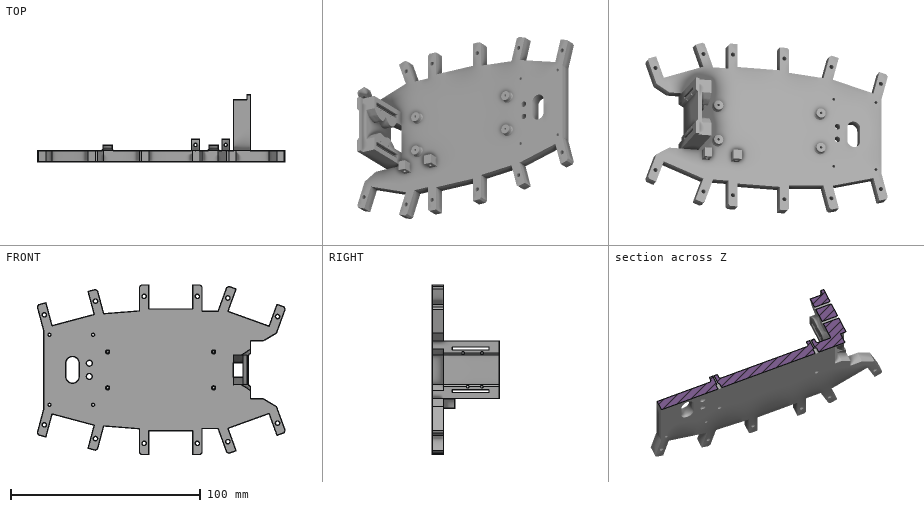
import cadquery as cq
import math


plate_thickness = 6.0
end_x = 0.2
end_half_width = 20.4
mid_half_width = 32.2
notch_floor_x = 109.55
notch_half_width = 15.25
plate_half_outline = [
    (end_x, end_half_width),
    (4.4, 23.3),
    (26.9, 29.3),
    (31.9, 29.7),
    (50.8, 31.2),
    (55.8, mid_half_width),
    (78.9, mid_half_width),
    (83.9, 31.0),
    (92.4, 31.0),
    (97.7, 30.9),
    (119.3, 23.1),
    (123.2, 19.4),
    (116.2, notch_half_width),
    (notch_floor_x, notch_half_width),
]

arm_width = 5.0
arm_length = 14.4
arm_chamfer = 1.0
arm_hole_diameter = 2.2
arm_hole_setback = 6.0
overall_width = 89.67
arm_tip_z = overall_width / 2
arms = [
    (-1.03, 34.85, 15.0, -1),
    (26.0, 42.1, 15.0, 1),
    (53.3, arm_tip_z, 0.0, -1),
    (81.4, arm_tip_z, 0.0, 1),
    (99.55, 43.6, -20.0, -1),
    (125.8, 33.8, -20.0, 1),
]

corner_hole_diameter = 1.5
corner_hole_xs = (3.25, 26.3)
corner_hole_z = 18.5
cable_hole_diameter = 3.0
cable_hole_x = 24.3
cable_hole_z = 3.5
slot_x = 15.4
slot_length = 14.0
slot_width = 7.0

standoff_xs = (34.0, 90.0)
standoff_z = 9.5
standoff_diameter = 5.0
standoff_height = 2.9
standoff_foot_height = 0.75
standoff_foot_growth = 0.5
standoff_bore = 1.3
standoff_entry_diameter = 2.2
standoff_entry_depth = plate_thickness / 2

lug_height = 6.0
lug_hole_diameter = 1.6
lug_z_min = -20.3
lug_z_max = -15.4
lug_spans = [(78.2, 82.6), (94.4, 98.4)]

block_x_min = 100.4
block_x_max = notch_floor_x
block_y_max = 35.51
lip_x_min = 107.5
lip_height = 2.6
lip_y_min = block_y_max - lip_height

channel_floor_x = 105.45
channel_half_width = 7.75
wave_crest_z = 3.8
ramp_end_x = 107.6
ramp_height = 2.0
flare_start_x = 104.5
flare_half_width = 10.95

groove_depth = 1.15

block_slot_y = (9.9, 30.8)
block_slot_z = (10.1, 12.45)
block_slot_step_depth = 2.0
block_slot_end_inset = 0.8
block_slot_side_inset = 0.5
pin_hole_diameter = 1.3
pin_hole_z = 8.9
pin_hole_y_outer = 26.3
pin_hole_y_upper = 16.4
pin_hole_y_lower = 18.8


def box_between(x_range, y_range, z_range):
    """Box spanning the given (min, max) ranges."""
    ranges = (x_range, y_range, z_range)
    sizes = [high - low for low, high in ranges]
    return cq.Workplane("XY").box(*sizes, centered=False).translate([low for low, _ in ranges])


def extrude_y(sketch_points, y_min, y_max):
    """Prism along Y from a closed list of (x, z) points."""
    plane = cq.Workplane(cq.Plane((0, y_min, 0), xDir=(1, 0, 0), normal=(0, -1, 0)))
    return plane.polyline(sketch_points).close().extrude(y_min - y_max)


def cylinder_y(x, z, diameter, y_min, y_max):
    """Cylinder along Y."""
    axis_plane = cq.Plane((x, y_min, z), xDir=(1, 0, 0), normal=(0, 1, 0))
    return cq.Workplane(axis_plane).circle(diameter / 2).extrude(y_max - y_min)


def mirrored_outline(half):
    """Close a half outline (z > 0) with its mirror image about Z = 0."""
    return half + [(x, -z) for x, z in reversed(half)]


def make_arm(tip_x, tip_z, tilt, chamfer_side):
    """Arm with one chamfered tip corner, leaning by the tilt angle."""
    half = arm_width / 2
    outline = [
        (-chamfer_side * half, 0),
        (chamfer_side * (half - arm_chamfer), 0),
        (chamfer_side * half, -arm_chamfer),
        (chamfer_side * half, -arm_length),
        (-chamfer_side * half, -arm_length),
    ]
    arm = extrude_y(outline, 0, plate_thickness)
    return arm.rotate((0, 0, 0), (0, 1, 0), -tilt).translate((tip_x, 0, tip_z))


def make_arm_hole(tip_x, tip_z, tilt):
    """Cutter for the mounting hole of one arm."""
    angle = math.radians(tilt)
    x = tip_x + arm_hole_setback * math.sin(angle)
    z = tip_z - arm_hole_setback * math.cos(angle)
    return cylinder_y(x, z, arm_hole_diameter, 0, plate_thickness)


def make_plate():
    """Plate with its twelve arms and plain through holes."""
    plate = extrude_y(mirrored_outline(plate_half_outline), 0, plate_thickness)
    for tip_x, tip_z, tilt, chamfer_side in arms:
        arm = make_arm(tip_x, tip_z, tilt, chamfer_side)
        hole = make_arm_hole(tip_x, tip_z, tilt)
        plate = plate.union(arm).union(arm.mirror("XY"))
        plate = plate.cut(hole).cut(hole.mirror("XY"))
    for side in (-1, 1):
        for x in corner_hole_xs:
            plate = plate.cut(cylinder_y(x, side * corner_hole_z, corner_hole_diameter, 0, plate_thickness))
        plate = plate.cut(
            cylinder_y(cable_hole_x, side * cable_hole_z, cable_hole_diameter, 0, plate_thickness)
        )
    slot_plane = cq.Plane((slot_x, 0, 0), xDir=(1, 0, 0), normal=(0, 1, 0))
    return plate.cut(cq.Workplane(slot_plane).slot2D(slot_length, slot_width, 90).extrude(plate_thickness))


def add_standoffs(body):
    """Four flared standoffs, bored through with a wider entry at the front."""
    top_y = plate_thickness + standoff_height
    radius = standoff_diameter / 2
    profile = [
        (0, 0),
        (radius + standoff_foot_growth, 0),
        (radius, standoff_foot_height),
        (radius, standoff_height),
        (0, standoff_height),
    ]
    standoff = cq.Workplane("XY").polyline(profile).close().revolve(360, (0, 0), (0, 1))
    for x in standoff_xs:
        for z in (-standoff_z, standoff_z):
            body = body.union(standoff.translate((x, plate_thickness, z)))
            body = body.cut(cylinder_y(x, z, standoff_bore, 0, top_y))
            body = body.cut(cylinder_y(x, z, standoff_entry_diameter, 0, standoff_entry_depth))
    return body


def add_lugs(body):
    """Two lugs on the back face, each with a hole along Z."""
    hole_y = plate_thickness + lug_height / 2
    for x_min, x_max in lug_spans:
        lug = box_between(
            (x_min, x_max), (plate_thickness, plate_thickness + lug_height), (lug_z_min, lug_z_max)
        )
        hole = (
            cq.Workplane("XY", origin=((x_min + x_max) / 2, hole_y, lug_z_min))
            .circle(lug_hole_diameter / 2)
            .extrude(lug_z_max - lug_z_min)
        )
        body = body.union(lug.cut(hole))
    return body


def make_channel():
    """Wavy channel cutter: each side wall bulges in around a pair of pin holes."""
    mouth_y = plate_thickness
    straight_end_y = 9.7
    rim_z = 8.3
    shoulder_y = 29.9
    shoulder_z = 5.3
    upper_wave = [
        (11.5, 6.7),
        (13.4, 4.6),
        (pin_hole_y_upper, wave_crest_z),
        (19.8, 5.4),
        (21.5, 6.9),
        (22.9, 5.1),
        (pin_hole_y_outer, wave_crest_z),
        (shoulder_y, shoulder_z),
        (lip_y_min, rim_z),
    ]
    lower_wave = [
        (shoulder_y, -shoulder_z),
        (pin_hole_y_outer, -wave_crest_z),
        (22.5, -4.5),
        (pin_hole_y_lower, -wave_crest_z),
        (15.6, -5.1),
        (13.2, -7.1),
        (straight_end_y, -channel_half_width),
    ]
    plane = cq.Plane((block_x_min, 0, 0), xDir=(0, 1, 0), normal=(1, 0, 0))
    return (
        cq.Workplane(plane)
        .moveTo(mouth_y, channel_half_width)
        .lineTo(straight_end_y, channel_half_width)
        .spline(upper_wave, tangents=[(1, 0), (1, 1)], includeCurrent=True)
        .lineTo(lip_y_min, -rim_z)
        .spline(lower_wave, tangents=[(-1, 1), (-1, 0)], includeCurrent=True)
        .lineTo(mouth_y, -channel_half_width)
        .close()
        .extrude(channel_floor_x - block_x_min)
    )


def make_ramp():
    """Ramp cutter that widens the channel floor towards the plate."""
    profile = [
        (channel_floor_x, plate_thickness),
        (ramp_end_x, plate_thickness),
        (channel_floor_x, plate_thickness + ramp_height),
    ]
    return cq.Workplane("XY").polyline(profile).close().extrude(channel_half_width, both=True)


def make_stepped_slot(side):
    """Slot through the block with a wider step at its near face, for one side of Z = 0."""
    y_min, y_max = block_slot_y
    z_inner, z_outer = block_slot_z
    step = box_between((block_x_min, block_x_min + block_slot_step_depth), block_slot_y, block_slot_z)
    through = box_between(
        (block_x_min, block_x_max),
        (y_min + block_slot_end_inset, y_max - block_slot_end_inset),
        (z_inner + block_slot_side_inset, z_outer - block_slot_side_inset),
    )
    slot = step.union(through)
    return slot if side > 0 else slot.mirror("XY")


def make_block():
    """Upright block with lip, wavy channel, slots, pin holes and rear groove."""
    z_range = (-notch_half_width, notch_half_width)
    block = box_between((block_x_min, block_x_max), (plate_thickness, lip_y_min), z_range)
    block = block.union(box_between((lip_x_min, block_x_max), (plate_thickness, block_y_max), z_range))
    block = block.cut(make_channel()).cut(make_ramp())

    groove_half = [
        (block_x_max - groove_depth, channel_half_width),
        (block_x_max, channel_half_width + groove_depth),
    ]
    block = block.cut(extrude_y(mirrored_outline(groove_half), plate_thickness, block_y_max))

    for side, inner_hole_y in ((1, pin_hole_y_upper), (-1, pin_hole_y_lower)):
        block = block.cut(make_stepped_slot(side))
        pins = (
            cq.Workplane("YZ", origin=(block_x_min, 0, 0))
            .pushPoints([(pin_hole_y_outer, side * pin_hole_z), (inner_hole_y, side * pin_hole_z)])
            .circle(pin_hole_diameter / 2)
            .extrude(block_x_max - block_x_min)
        )
        block = block.cut(pins)
    return block


def make_opening():
    """Cutter for the plate opening below the channel, flaring out to the notch floor."""
    half = [
        (block_x_min, channel_half_width),
        (flare_start_x, channel_half_width),
        (notch_floor_x, flare_half_width),
    ]
    return extrude_y(mirrored_outline(half), 0, plate_thickness)


chassis = make_plate().cut(make_opening())
chassis = add_standoffs(chassis)
chassis = add_lugs(chassis)
result = chassis.union(make_block())